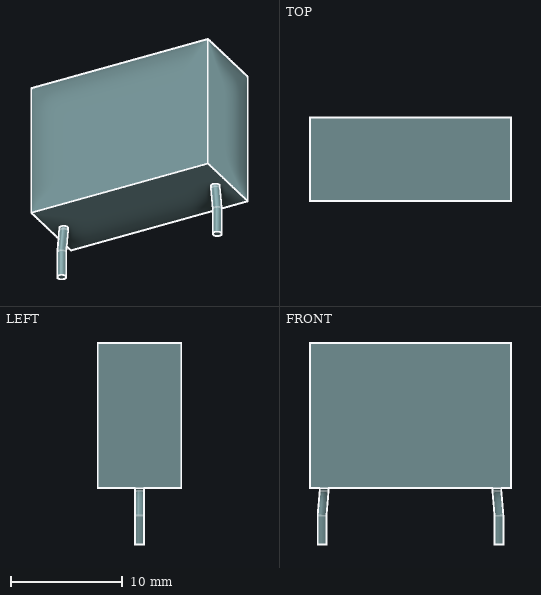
import cadquery as cq
import math

overall_height = 18.06
case_length = 18.0
case_width = 7.5
case_height = 13.0
lead_length = overall_height - case_height

lead_diameter = 0.81
lead_radius = lead_diameter / 2
root_spacing = 15.46
tip_spacing = 15.84
upper_bend_depth = 0.25
lower_bend_depth = 2.45
bend_radius = lead_diameter

splay_offset = (tip_spacing - root_spacing) / 2
splay_angle = math.atan2(splay_offset, lower_bend_depth - upper_bend_depth)
bend_setback = bend_radius * math.tan(splay_angle / 2)


def make_case():
    """Plain rectangular case resting on Z = 0."""
    return cq.Workplane("XY").box(case_length, case_width, case_height, centered=(True, True, False))


def make_lead(side):
    """Bent round lead hanging below the case; side is -1 for left or +1 for right."""
    root_x = side * root_spacing / 2
    tip_x = side * tip_spacing / 2
    setback_x = side * bend_setback * math.sin(splay_angle)
    setback_z = bend_setback * math.cos(splay_angle)

    axis = (
        cq.Workplane("XZ")
        .moveTo(root_x, 0)
        .lineTo(root_x, -upper_bend_depth + bend_setback)
        .tangentArcPoint((root_x + setback_x, -upper_bend_depth - setback_z), relative=False)
        .lineTo(tip_x - setback_x, -lower_bend_depth + setback_z)
        .tangentArcPoint((tip_x, -lower_bend_depth - bend_setback), relative=False)
        .lineTo(tip_x, -lead_length)
    )
    return cq.Workplane("XY").center(root_x, 0).circle(lead_radius).sweep(axis)


case = make_case()
leads = [make_lead(side) for side in (-1, 1)]

result = cq.Compound.makeCompound([case.val(), *[lead.val() for lead in leads]])